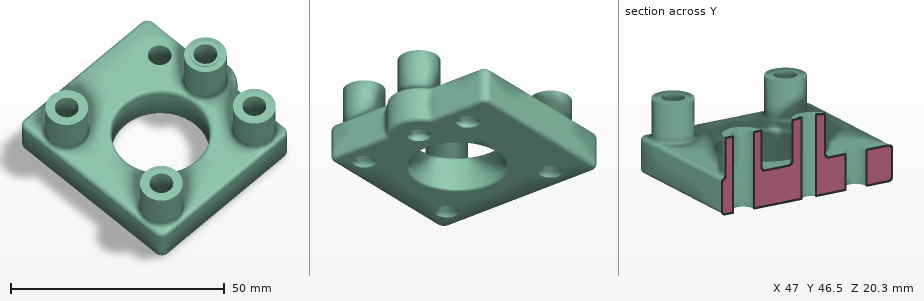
import cadquery as cq
import math

plate_width = 47.0
plate_depth = 42.95
plate_height = 9.0
corner_radius = 2.0
edge_radius = 1.0
opening_bottom_radius = 0.5

opening_x = 25.47
opening_y = plate_depth / 2
opening_diameter = 23.0
screw_pitch = 31.0
bore_diameter = 5.6

boss_diameter = 10.0
boss_top = 19.0
tall_boss_top = 20.0
lip_diameter = 7.0
lip_height = 0.25

lug_x = 23.0
lug_y = 39.0
lug_radius = 7.45
lug_blend_radius = 2.0

left_x = opening_x - screw_pitch / 2
right_x = opening_x + screw_pitch / 2
front_y = opening_y - screw_pitch / 2
rear_y = opening_y + screw_pitch / 2
boss_places = [(left_x, front_y), (right_x, front_y), (right_x, rear_y)]
bore_places = boss_places + [(left_x, rear_y), (lug_x, lug_y)]


def make_plate():
    """Plate with its lug; blends join the lug arc to the rear side."""
    plate = cq.Workplane("XY").box(plate_width, plate_depth, plate_height, centered=False)
    plate = plate.edges("|Z").fillet(corner_radius)
    lug = cq.Workplane("XY").center(lug_x, lug_y).circle(lug_radius).extrude(plate_height)
    half_chord = math.sqrt(lug_radius**2 - (plate_depth - lug_y) ** 2)
    plate = plate.union(lug)
    for side in (-1, 1):
        corner = (lug_x + side * half_chord, plate_depth, plate_height / 2)
        plate = plate.edges(cq.selectors.NearestToPointSelector(corner)).fillet(lug_blend_radius)
    return plate.faces("<Z or >Z").edges().fillet(edge_radius)


def cut_opening(plate):
    """Central opening, rounded at both ends."""
    opening = cq.Workplane("XY").center(opening_x, opening_y)
    plate = plate.cut(opening.circle(opening_diameter / 2).extrude(plate_height))
    rim = cq.selectors.RadiusNthSelector(-1)
    plate = plate.faces("<Z").edges("%CIRCLE").edges(rim).fillet(opening_bottom_radius)
    return plate.faces(">Z").edges("%CIRCLE").edges(rim).fillet(edge_radius)


def add_boss(body, x, y, top):
    """Round boss with a fillet around its foot."""
    boss = cq.Workplane("XY").center(x, y).circle(boss_diameter / 2).extrude(top)
    body = body.union(boss)
    reach = boss_diameter / 2 + edge_radius / 2
    foot = cq.selectors.BoxSelector(
        (x - reach, y - reach, plate_height - edge_radius),
        (x + reach, y + reach, plate_height + edge_radius),
    )
    walls = body.faces("%CYLINDER")
    wall = walls.faces(cq.selectors.NearestToPointSelector((x, y, (plate_height + top) / 2)))
    return wall.edges(foot).fillet(edge_radius)


result = cut_opening(make_plate())
for boss_x, boss_y in boss_places:
    result = add_boss(result, boss_x, boss_y, boss_top)
result = add_boss(result, lug_x, lug_y, tall_boss_top)

lip = cq.Workplane("XY").workplane(offset=tall_boss_top).center(lug_x, lug_y)
result = result.union(lip.circle(lip_diameter / 2).extrude(lip_height))

bores = cq.Workplane("XY").pushPoints(bore_places).circle(bore_diameter / 2)
result = result.cut(bores.extrude(tall_boss_top + lip_height))